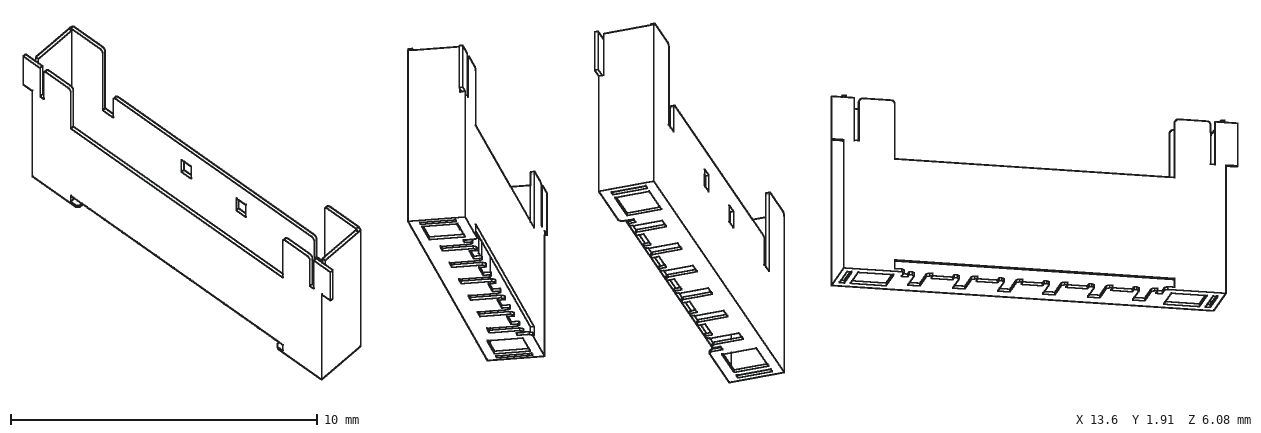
import cadquery as cq

overall_width = 13.55
body_width = 12.76
depth = 1.91
overall_height = 6.08
wall = 0.12
floor_thickness = 0.1
corner_radius = 0.12
corner_chamfer = 0.1

front_height = 5.87
front_sill = 3.86
front_opening_width = 9.35
wing_bottom = 4.4
wing_slit_inner = 5.87
wing_slit_width = 0.16
bottom_notch_height = 0.39

side_height = 5.99
side_relief = 0.05

back_tab_width = 8.86
back_tab_height = 4.06
back_opening_width = 9.78
back_gap_bottom = 3.01
back_window_spacing = 2.41
back_window_width = 0.42
back_window_height = 0.62
back_window_bottom = 2.68

floor_opening_width = 8.7
square_window = 1.19
square_window_centre = 5.23
side_slot_width = 0.16
side_slot_centre = 6.11
floor_window_y = 0.96
floor_window_length = square_window
web_front = 0.49
prong_tip = 0.23
prong_width = 0.19
contact_count = 6
contact_span = 7.5
contact_pitch = contact_span / (contact_count - 1)
contact_slot_width = 0.4
contact_slot_end = 1.34

half_body = body_width / 2


def block(x_min, x_max, y_min, y_max, z_min, z_max):
    """Axis-aligned box given by its limits."""
    return cq.Workplane("XY").box(
        x_max - x_min, y_max - y_min, z_max - z_min, centered=False
    ).translate((x_min, y_min, z_min))


def upright_panel(half_width, y_min, z_min, z_max):
    """Wall-thick panel parallel to the front, symmetric about x = 0."""
    return block(-half_width, half_width, y_min, y_min + wall, z_min, z_max)


def mirrored(shape):
    """The shape together with its mirror image about x = 0."""
    return shape.union(shape.mirror("YZ"))


def front_wall():
    opening = front_opening_width / 2
    wall_body = upright_panel(half_body, 0, 0, front_sill)
    arm = block(opening, wing_slit_inner, 0, wall, 0, front_height)
    arm = arm.edges("|Y and >Z").fillet(corner_radius)
    wing_inner = wing_slit_inner + wing_slit_width
    wing = block(wing_inner, overall_width / 2, 0, wall, wing_bottom, front_height)
    wing_root = block(opening, half_body, 0, wall, 0, wing_bottom)
    notch = upright_panel(opening, 0, 0, bottom_notch_height)
    return wall_body.union(mirrored(arm.union(wing_root).union(wing))).cut(notch)


def side_walls():
    inner = half_body - wall
    lower = block(inner, half_body, 0, depth, 0, wing_bottom)
    upper = block(inner, half_body, wall + side_relief, depth, wing_bottom, side_height)
    return mirrored(lower.union(upper))


def back_wall():
    inner_face = depth - wall
    wall_body = upright_panel(half_body, inner_face, 0, back_gap_bottom)
    tab = upright_panel(back_tab_width / 2, inner_face, 0, back_tab_height)
    tab = tab.edges("|Y and >Z").fillet(corner_radius)
    arm = block(back_opening_width / 2, half_body, inner_face, depth, 0, overall_height)
    arm = arm.edges("|Y and >Z and <X").fillet(corner_radius)
    arm = arm.edges("|Y and >Z and >X").chamfer(corner_chamfer)
    window_left = (back_window_spacing - back_window_width) / 2
    window = block(
        window_left, window_left + back_window_width,
        inner_face, depth,
        back_window_bottom, back_window_bottom + back_window_height,
    )
    return wall_body.union(tab).union(mirrored(arm)).cut(mirrored(window))


def contact_prongs(centre):
    """Pair of prongs that flank one contact slot, chamfered on the slot side."""
    slot_edge = contact_slot_width / 2
    outer_edge = slot_edge + prong_width
    prong = block(slot_edge, outer_edge, prong_tip, web_front, 0, floor_thickness)
    prong = prong.edges("|Z and <X and <Y").chamfer(corner_chamfer)
    return mirrored(prong).translate((centre, 0, 0))


def floor_window_pair(centre, width):
    """Cutter for a window of the given width on each side of x = 0."""
    return mirrored(
        cq.Workplane("XY").center(centre, floor_window_y).rect(width, floor_window_length).extrude(floor_thickness)
    )


def floor():
    half_opening = floor_opening_width / 2
    plate = block(-half_body, half_body, web_front, depth, 0, floor_thickness)
    front_land = block(half_opening, half_body, 0, web_front, 0, floor_thickness)
    front_land = front_land.edges("|Z and <X and <Y").chamfer(corner_chamfer)
    plate = plate.union(mirrored(front_land))

    for index in range(contact_count):
        centre = (index - (contact_count - 1) / 2) * contact_pitch
        slot = block(
            centre - contact_slot_width / 2, centre + contact_slot_width / 2,
            web_front, contact_slot_end,
            0, floor_thickness,
        )
        plate = plate.cut(slot).union(contact_prongs(centre))

    plate = plate.cut(floor_window_pair(square_window_centre, square_window))
    return plate.cut(floor_window_pair(side_slot_centre, side_slot_width))


result = front_wall().union(side_walls()).union(back_wall()).union(floor())